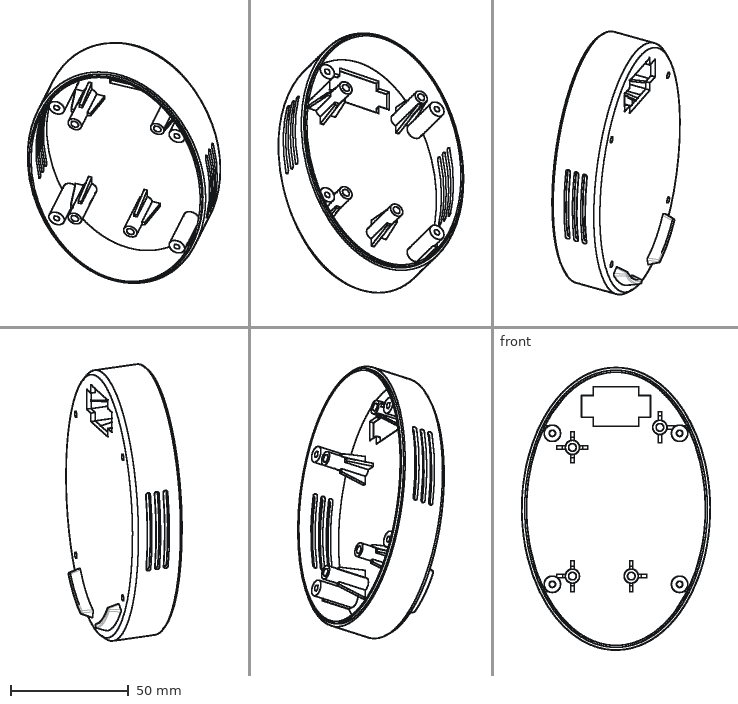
import cadquery as cq
import math


HALF_WIDTH = 80.0 / 2
HALF_HEIGHT = 60.0
DEPTH = 22.5
WALL = 2.0
FLOOR = 2.0
BACK_CHAMFER_DEPTH = 2.0
BACK_CHAMFER_INSET = 1.7
RIM_STEP = 1.2

WINDOW_Z = 43.5
WINDOW_TALL = (19.2, 16.7)
WINDOW_WIDE = (29.2, 9.1)

VENT_WIDTH = 2.0
VENT_LENGTH = 35.2
VENT_PITCH = 4.0
VENT_Y = -11.2
VENT_Z = 1.1

BOSS_X = 27.0
BOSS_Z = 32.0
BOSS_DIAMETER = 7.0
BOSS_HOLE = 2.5
BOSS_TIP = -21.0
BOSS_WEB_REACH = 3.2
BOSS_WEB_TIP = -15.6
BOSS_PLACES = [(x, z) for x in (-BOSS_X, BOSS_X) for z in (-BOSS_Z, BOSS_Z)]

STANDOFF_DIAMETER = 6.0
STANDOFF_HOLE = 3.2
STANDOFF_TIP = -22.1
RIB_THICKNESS = 1.5
RIB_REACH = 6.6
RIB_LEAN = 10.4
LOW_RIB = 8.9
MID_RIB = 12.2
TALL_RIB = 13.5
FULL_RIB = 19.0
RIGHT, UP, LEFT, DOWN = 0, 90, 180, 270
STANDOFFS = [
    (-18.5, 26.0, {RIGHT: MID_RIB, UP: MID_RIB, LEFT: MID_RIB, DOWN: MID_RIB}),
    (18.6, 34.5, {RIGHT: FULL_RIB, UP: LOW_RIB, DOWN: FULL_RIB}),
    (-18.5, -28.5, {UP: TALL_RIB, LEFT: TALL_RIB, DOWN: TALL_RIB}),
    (6.5, -28.5, {RIGHT: TALL_RIB, UP: TALL_RIB, DOWN: TALL_RIB}),
]

FOOT_HEIGHT = 5.0
FOOT_OUTER_INSET = 4.7
FOOT_INNER_INSET = 8.9
FOOT_OUTER_LEAN = 1.9
FOOT_INNER_LEAN = 0.6
FOOT_END_TAPER = 12.5
FOOT_CORNER_RADIUS = 0.7
FOOT_EDGE_RADIUS = 0.5
FOOT_FAR_END = ((-25.7, -38.5), (-22.5, -36.4))
FOOT_NEAR_END = ((-8.0, -54.4), (-6.8, -50.3))
END_OVERRUN = 3


def at_depth(y):
    """Plane facing -Y at the given Y, with X to the right and Z up."""
    return cq.Workplane("XZ", origin=(0, y, 0))


def oval(y_start, y_end, start_inset, end_inset):
    """Solid oval between two depths, inset from the case outline at each end."""
    return (
        at_depth(y_start)
        .ellipse(HALF_WIDTH - start_inset, HALF_HEIGHT - start_inset)
        .workplane(offset=y_start - y_end)
        .ellipse(HALF_WIDTH - end_inset, HALF_HEIGHT - end_inset)
        .loft(ruled=True, combine=True)
    )


def shell():
    """Open oval case with a chamfered back and a stepped rim."""
    back = oval(0, -BACK_CHAMFER_DEPTH, BACK_CHAMFER_INSET, 0)
    side = oval(-BACK_CHAMFER_DEPTH, RIM_STEP - DEPTH, 0, 0)
    rim = oval(RIM_STEP - DEPTH, -DEPTH, RIM_STEP, RIM_STEP)
    cavity = oval(-FLOOR, -DEPTH, WALL, WALL)
    return back.union(side).union(rim).cut(cavity)


def window():
    tall = at_depth(0).center(0, WINDOW_Z).rect(*WINDOW_TALL).extrude(FLOOR)
    wide = at_depth(0).center(0, WINDOW_Z).rect(*WINDOW_WIDE).extrude(FLOOR)
    return tall.union(wide)


def vents():
    """Three upright slots through both side walls."""
    places = [(VENT_Y + step * VENT_PITCH, VENT_Z) for step in (-1, 0, 1)]
    return (
        cq.Workplane("YZ")
        .pushPoints(places)
        .slot2D(VENT_LENGTH, VENT_WIDTH, 90)
        .extrude(HALF_WIDTH, both=True)
    )


def post(x, z, diameter, tip):
    return at_depth(0).center(x, z).circle(diameter / 2).extrude(-tip)


def boss(x, z):
    """Screw boss with a square web that fills the gap to the wall."""
    web_x = x + math.copysign(BOSS_WEB_REACH / 2, x)
    web_z = z + math.copysign(BOSS_WEB_REACH / 2, z)
    web = (
        at_depth(-FLOOR)
        .center(web_x, web_z)
        .rect(BOSS_WEB_REACH, BOSS_WEB_REACH)
        .extrude(-BOSS_WEB_TIP - FLOOR)
    )
    return post(x, z, BOSS_DIAMETER, BOSS_TIP).union(web)


def boss_holes():
    return at_depth(0).pushPoints(BOSS_PLACES).circle(BOSS_HOLE / 2).extrude(DEPTH)


def rib(x, z, side, height):
    """Gusset leaning on a standoff; its sloped edge is cut off flat at the rib height."""
    top_reach = RIB_REACH - height * math.tan(math.radians(RIB_LEAN))
    top = -FLOOR - height
    return (
        cq.Workplane("XY")
        .polyline([(0, 0), (RIB_REACH, 0), (RIB_REACH, -FLOOR), (top_reach, top), (0, top)])
        .close()
        .extrude(RIB_THICKNESS / 2, both=True)
        .rotate((0, 0, 0), (0, 1, 0), -side)
        .translate((x, 0, z))
    )


def standoff(x, z, ribs):
    """Ribbed post with a blind hole down to the floor."""
    body = post(x, z, STANDOFF_DIAMETER, STANDOFF_TIP)
    for side, height in ribs.items():
        body = body.union(rib(x, z, side, height))
    hole = at_depth(-FLOOR).center(x, z).circle(STANDOFF_HOLE / 2).extrude(DEPTH)
    return body.cut(hole)


def stretched(end):
    """The line of a foot end, run on past both of its points."""
    (outer_x, outer_z), (inner_x, inner_z) = end
    run_x = END_OVERRUN * (inner_x - outer_x)
    run_z = END_OVERRUN * (inner_z - outer_z)
    return [(outer_x - run_x, outer_z - run_z), (inner_x + run_x, inner_z + run_z)]


def left_foot():
    """A stretch of oval band with leaning faces, cut off by two tapered ends."""
    outer = oval(FOOT_HEIGHT, 0, FOOT_OUTER_INSET + FOOT_OUTER_LEAN, FOOT_OUTER_INSET)
    inner = oval(FOOT_HEIGHT, 0, FOOT_INNER_INSET - FOOT_INNER_LEAN, FOOT_INNER_INSET)
    between_ends = (
        at_depth(0)
        .polyline(stretched(FOOT_FAR_END) + stretched(FOOT_NEAR_END)[::-1])
        .close()
        .extrude(-FOOT_HEIGHT, taper=FOOT_END_TAPER)
    )
    bar = outer.cut(inner).intersect(between_ends)
    bar = bar.edges("not(<Y or >Y)").fillet(FOOT_CORNER_RADIUS)
    return bar.faces(">Y").edges().fillet(FOOT_EDGE_RADIUS)


result = shell()
for boss_x, boss_z in BOSS_PLACES:
    result = result.union(boss(boss_x, boss_z))
for standoff_x, standoff_z, standoff_ribs in STANDOFFS:
    result = result.union(standoff(standoff_x, standoff_z, standoff_ribs))
result = result.cut(window()).cut(vents()).cut(boss_holes())

foot = left_foot()
result = result.union(foot).union(foot.mirror("YZ"))